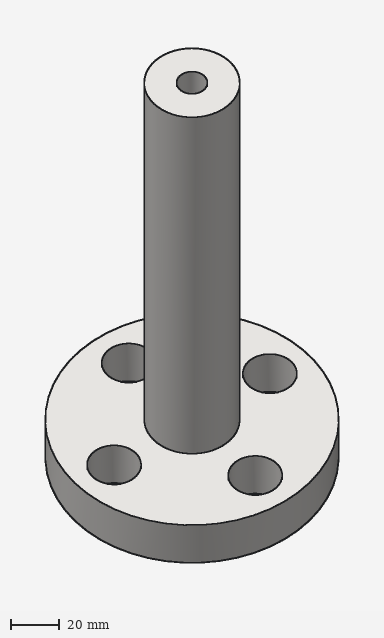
import cadquery as cq

overall_height = 222.2
flange_diameter = 120.7
flange_thickness = 22.5
stem_diameter = 39.3
bore_diameter = 12.7
bolt_circle_diameter = 82.5
bolt_hole_diameter = 22.2
bolt_hole_count = 4

flange = cq.Workplane("XY").circle(flange_diameter / 2).extrude(flange_thickness)

stem = cq.Workplane("XY").circle(stem_diameter / 2).extrude(overall_height)

bore = cq.Workplane("XY").circle(bore_diameter / 2).extrude(overall_height)

bolt_holes = (
    cq.Workplane("XY")
    .polarArray(bolt_circle_diameter / 2, 0, 360, bolt_hole_count)
    .circle(bolt_hole_diameter / 2)
    .extrude(flange_thickness)
)

result = flange.union(stem).cut(bore).cut(bolt_holes)